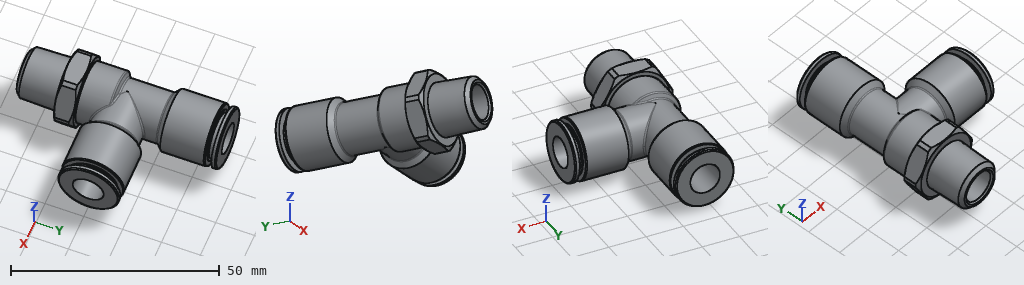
import cadquery as cq
import math


neck_radius = 6.55
branch_neck_radius = neck_radius - 0.005
neck_length = 9.0
seam_fillet = 0.4

port_reach = 25.8
flange_radius = 7.85
flange_thickness = 1.2
flange_chamfer = 0.3
sleeve_radius = 5.75
seat_radius = 6.55
seat_height = 0.15
socket_radius = 8.0
socket_start = 11.5
socket_end = 23
socket_rim_width = 0.15
socket_rim_length = 0.35
socket_fillet = 0.5

collar_radius = 7.9
collar_start = -1.45
collar_end = -10.5
collar_shoulder_angle = 60
collar_fillet = 0.45
collar_rim_chamfer = 0.2

hex_sides = 6
hex_flats = 18.0
hex_corner_radius = 10.05
hex_face_radius = 8.85
hex_thickness = 5.05
hex_bevel_angle = 30

thread_length = 10.95
thread_top_radius = 6.75
thread_end_radius = 6.5
thread_chamfer = 1.05
stem_bore_radius = 4.35
stem_mouth_chamfer = 0.45

passage_radius = 4.0

hex_bottom = collar_end - hex_thickness
stem_tip = hex_bottom - thread_length
bore_step = stem_bore_radius - passage_radius


def revolve_about_y(points):
    """Revolve a closed (radius, y) outline about the Y axis."""
    return cq.Workplane("XY").polyline(points).close().revolve(360, (0, 0), (0, 1))


def circle_edges_at(y):
    """Select the edges centred on height y of a body revolved about Y."""
    tolerance = 0.025
    return cq.selectors.BoxSelector(
        (-tolerance, y - tolerance, -tolerance), (tolerance, y + tolerance, tolerance)
    )


def along_branch(body):
    """Turn a body built along +Y so that it points along +X."""
    return body.rotate((0, 0, 0), (0, 0, 1), -90)


def make_neck(radius):
    """Plain cylinder from the origin along +Y."""
    return revolve_about_y([(0, 0), (radius, 0), (radius, neck_length), (0, neck_length)])


def make_port_head(stem_radius):
    """Socket, sleeve and release flange of a push-in port along +Y, on a neck of stem_radius."""
    neck_end = socket_start - (socket_radius - stem_radius)
    seat_end = socket_end + seat_height
    flange_start = port_reach - flange_thickness
    head = revolve_about_y([
        (0, neck_length),
        (stem_radius, neck_length),
        (stem_radius, neck_end),
        (socket_radius, socket_start),
        (socket_radius, socket_end - socket_rim_length),
        (socket_radius - socket_rim_width, socket_end),
        (seat_radius, socket_end),
        (seat_radius, seat_end),
        (sleeve_radius, seat_end),
        (sleeve_radius, flange_start),
        (flange_radius, flange_start),
        (flange_radius, port_reach - flange_chamfer),
        (flange_radius - flange_chamfer, port_reach),
        (0, port_reach),
    ])
    return head.edges(circle_edges_at(neck_end)).fillet(socket_fillet)


def make_collar():
    """Collar with a conical shoulder rounded at both ends."""
    angle = math.radians(collar_shoulder_angle)
    shoulder_start = collar_start - collar_fillet * math.tan(angle / 2)
    shoulder_end = shoulder_start - (collar_radius - neck_radius) / math.tan(angle)
    collar = revolve_about_y([
        (0, 0),
        (neck_radius, 0),
        (neck_radius, shoulder_start),
        (collar_radius, shoulder_end),
        (collar_radius, collar_end + collar_rim_chamfer),
        (collar_radius - collar_rim_chamfer, collar_end),
        (0, collar_end),
    ])
    collar = collar.edges(circle_edges_at(shoulder_start)).fillet(collar_fillet)
    return collar.edges(circle_edges_at(shoulder_end)).fillet(collar_fillet)


def make_hexagon():
    """Hexagon with flats facing +Z and -Z, turned corners and bevelled faces."""
    bevel_height = (hex_corner_radius - hex_face_radius) * math.tan(math.radians(hex_bevel_angle))
    across_corners = hex_flats / math.cos(math.pi / hex_sides)
    prism = (
        cq.Workplane("XZ", origin=(0, collar_end, 0))
        .polygon(hex_sides, across_corners)
        .extrude(hex_thickness)
    )
    envelope = revolve_about_y([
        (0, collar_end),
        (hex_face_radius, collar_end),
        (hex_corner_radius, collar_end - bevel_height),
        (hex_corner_radius, hex_bottom + bevel_height),
        (hex_face_radius, hex_bottom),
        (0, hex_bottom),
    ])
    return prism.intersect(envelope)


def make_thread():
    """Plain tapered cone standing for the male thread."""
    return revolve_about_y([
        (0, hex_bottom),
        (thread_top_radius, hex_bottom),
        (thread_end_radius, stem_tip + thread_chamfer),
        (thread_end_radius - thread_chamfer, stem_tip),
        (0, stem_tip),
    ])


def make_run_bore():
    """Passage along Y that widens in the stem and flares at its mouth."""
    return revolve_about_y([
        (0, port_reach),
        (passage_radius, port_reach),
        (passage_radius, collar_end),
        (stem_bore_radius, collar_end - bore_step),
        (stem_bore_radius, stem_tip + stem_mouth_chamfer),
        (stem_bore_radius + stem_mouth_chamfer, stem_tip),
        (0, stem_tip),
    ])


def make_branch_bore():
    """Passage from the run axis out through the branch port."""
    return cq.Workplane("YZ").circle(passage_radius).extrude(port_reach)


def make_tee():
    """Necks and collar, with the seam between run and branch filleted."""
    run = make_neck(neck_radius).union(make_collar())
    tee = run.union(along_branch(make_neck(branch_neck_radius)))
    axis_clearance = 0.5
    seam = cq.selectors.BoxSelector(
        (axis_clearance, -branch_neck_radius, -neck_radius),
        (collar_radius, branch_neck_radius, neck_radius),
    )
    return tee.edges(seam).fillet(seam_fillet)


result = (
    make_tee()
    .union(make_port_head(neck_radius))
    .union(along_branch(make_port_head(branch_neck_radius)))
    .union(make_hexagon())
    .union(make_thread())
    .cut(make_run_bore())
    .cut(make_branch_bore())
)